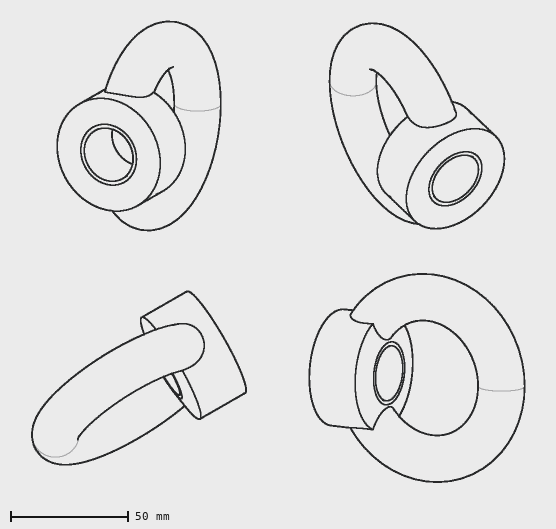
import cadquery as cq

ring_outer_diameter = 90.0
ring_bar_diameter = 20.0
boss_diameter = 50.0
boss_length = 25.0
boss_taper_length = 2.5
boss_top_diameter = 27.0
sleeve_outer_diameter = 27.0
sleeve_inner_diameter = 23.6

ring_centre_radius = (ring_outer_diameter - ring_bar_diameter) / 2
boss_base_y = -ring_outer_diameter / 2
boss_rim_length = boss_length - boss_taper_length


def make_ring():
    """Round bar swept in a full circle about the X axis."""
    return (
        cq.Workplane("XY")
        .center(0, ring_centre_radius)
        .circle(ring_bar_diameter / 2)
        .revolve(360, (0, -ring_centre_radius, 0), (1, -ring_centre_radius, 0))
    )


def make_boss():
    """Cylinder along Y whose inner end tapers to a flat face."""
    boss_rim_y = boss_base_y + boss_rim_length
    boss_top_y = boss_base_y + boss_length
    return (
        cq.Workplane("XY")
        .moveTo(0, boss_base_y)
        .lineTo(boss_diameter / 2, boss_base_y)
        .lineTo(boss_diameter / 2, boss_rim_y)
        .lineTo(boss_top_diameter / 2, boss_top_y)
        .lineTo(0, boss_top_y)
        .close()
        .revolve(360, (0, 0, 0), (0, 1, 0))
    )


def make_boss_cylinder(diameter):
    """Cylinder along the boss axis, as long as the boss."""
    return (
        cq.Workplane("XZ", origin=(0, boss_base_y, 0))
        .circle(diameter / 2)
        .extrude(-boss_length)
    )


def make_eye_nut():
    """Ring and boss in one piece, bored through the boss for the sleeve."""
    return make_ring().union(make_boss()).cut(make_boss_cylinder(sleeve_outer_diameter))


def make_sleeve():
    """Plain tube filling the bore of the boss from end to end."""
    return make_boss_cylinder(sleeve_outer_diameter).cut(make_boss_cylinder(sleeve_inner_diameter))


eye_nut = make_eye_nut()
sleeve = make_sleeve()

result = cq.Compound.makeCompound([eye_nut.val(), sleeve.val()])